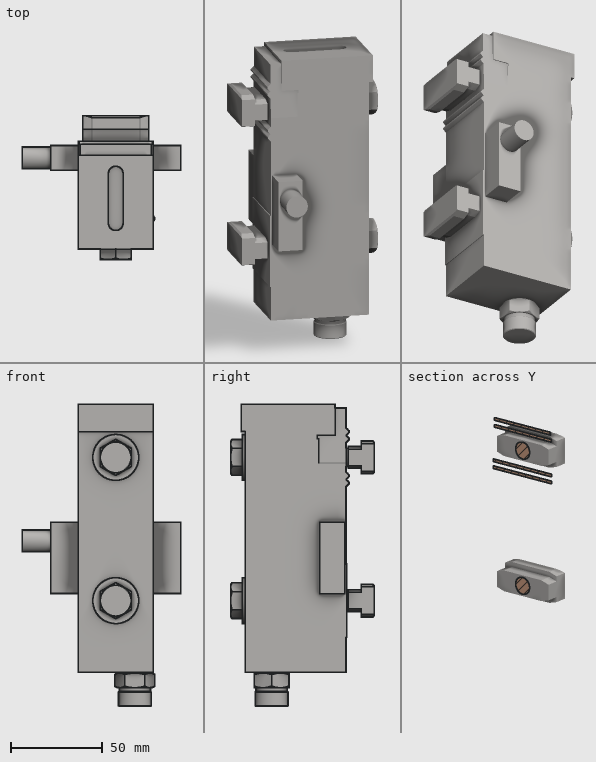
import cadquery as cq
import math


body_width = 41.0
body_depth = 54.9
body_height = 146.0
cap_height = 15.0
cap_overhang = 2.2

slot_width = 8.0
slot_length = 35.0
slot_depth = 2.0
slot_center_y = 25.4

insert_top_z = body_height - 2.0
insert_step_z = body_height - 17.0
insert_bottom_z = body_height - 32.0
insert_upper_y = 48.9
insert_lower_y = 40.0
relief_depth = 0.7
relief_height = 1.75
insert_top_width = 38.7

bolt_spacing = 78.0
lower_bolt_z = 39.0
upper_bolt_z = lower_bolt_z + bolt_spacing
washer_diameter = 25.0
washer_thickness = 1.7
bolt_diameter = 10.0
bolt_head_flats = 17.0
bolt_head_height = 6.3
bolt_head_crown_diameter = 16.8

nut_width = 36.0
nut_head_height = 17.9
nut_head_thickness = 7.3
nut_neck_height = 12.0
nut_neck_thickness = 7.0
nut_corner_length = 5.0
nut_corner_drop = 1.5
nut_edge_chamfer = 1.0
nut_gap = 1.2

tooth_pitch = 4.0
tooth_height = 1.7
tooth_tip_width = 0.8
teeth_per_side = 2
first_tooth_offset = 10.0
pad_height = 40.0
pad_thickness = 0.5

bar_length = 71.0
bar_depth = 13.6
bar_height = 39.0
bar_center_y = 47.4
bar_center_z = 62.3
pin_diameter = 12.0
pin_length = 15.5
pin_z = 71.5

fitting_x = 10.4
fitting_y = 14.4
fitting_flats = 19.0
fitting_collar_height = 0.4
fitting_hex_height = 8.0
fitting_groove_diameter = 17.1
fitting_groove_height = 2.0
fitting_thread_diameter = 18.0
fitting_length = 18.5
fitting_thread_chamfer = 0.4

hex_chamfer_angle = math.radians(30)


def box(x_range, y_range, z_range):
    """Box given by its lower and upper limit along each axis."""
    size = [high - low for low, high in (x_range, y_range, z_range)]
    corner = cq.Vector(x_range[0], y_range[0], z_range[0])
    return cq.Workplane(cq.Solid.makeBox(*size, corner))


def extrude_across(points, width):
    """Extrude a (Y, Z) outline along X, centred on X = 0."""
    return cq.Workplane("YZ").polyline(points).close().extrude(width / 2, both=True)


def hexagon(flats, height, crown_diameter, chamfer_bottom):
    """Hexagon prism up from Z = 0 with corners on X, its corners turned down to a cone."""
    corner_radius = flats / math.sqrt(3)
    crown_radius = crown_diameter / 2
    drop = (corner_radius - crown_radius) * math.tan(hex_chamfer_angle)
    prism = cq.Workplane("XY").polygon(6, 2 * corner_radius).extrude(height)
    if chamfer_bottom:
        bottom = [(crown_radius, 0), (corner_radius, drop)]
    else:
        bottom = [(corner_radius, 0)]
    top = [(corner_radius, height - drop), (crown_radius, height)]
    outline = [(0, 0)] + bottom + top + [(0, height)]
    turned = cq.Workplane("XZ").polyline(outline).close().revolve(360, (0, 0), (0, 1))
    return prism.intersect(turned)


def make_body():
    half_width = body_width / 2
    block = box((-half_width, half_width), (0, body_depth), (0, body_height))
    overhang = box(
        (-half_width, half_width),
        (-cap_overhang, 0),
        (body_height - cap_height, body_height),
    )
    slot = (
        cq.Workplane("XY", origin=(0, slot_center_y, body_height))
        .slot2D(slot_length, slot_width, 90)
        .extrude(-slot_depth)
    )
    return block.union(overhang).cut(slot)


def insert_outline(back_y, top_z):
    """(Y, Z) outline of the insert seat, reaching out to the given back and top."""
    relief_y = insert_lower_y - relief_depth
    relief_z = insert_step_z - relief_height
    return [
        (back_y, insert_bottom_z),
        (insert_lower_y, insert_bottom_z),
        (insert_lower_y, relief_z),
        (relief_y, relief_z),
        (relief_y, insert_step_z),
        (insert_upper_y, insert_step_z),
        (insert_upper_y, top_z),
        (back_y, top_z),
    ]


def make_teeth():
    """Rows of blunt 45 degree teeth across the back, on both sides of the upper bolt."""
    tip_y = body_depth + tooth_height
    tip_half = tooth_tip_width / 2
    teeth = cq.Workplane("XY")
    for side in (-1, 1):
        for index in range(teeth_per_side):
            tip_z = upper_bolt_z + side * (first_tooth_offset + index * tooth_pitch)
            points = [
                (body_depth, tip_z - tip_half - tooth_height),
                (tip_y, tip_z - tip_half),
                (tip_y, tip_z + tip_half),
                (body_depth, tip_z + tip_half + tooth_height),
            ]
            teeth = teeth.union(extrude_across(points, body_width))
    return teeth


def insert_side_limits():
    """Trapezoid in XZ whose sloping sides narrow the insert towards its top."""
    bottom_half = body_width / 2
    top_half = insert_top_width / 2
    return (
        cq.Workplane("XZ")
        .polyline(
            [
                (-bottom_half, insert_bottom_z),
                (bottom_half, insert_bottom_z),
                (top_half, insert_top_z),
                (-top_half, insert_top_z),
            ]
        )
        .close()
        .extrude(-(body_depth + tooth_height))
    )


def add_insert(body):
    """Replace the upper back of the body by the insert and add the teeth."""
    seat = extrude_across(insert_outline(body_depth + tooth_height, body_height), body_width)
    insert = extrude_across(insert_outline(body_depth, insert_top_z), body_width)
    teeth = make_teeth()
    insert = insert.union(teeth.intersect(seat)).intersect(insert_side_limits())
    return body.union(teeth).cut(seat).union(insert)


def nut_plate(height, y_start, thickness):
    """T-nut plate with its four corners bevelled, extruded along +Y."""
    half_width = nut_width / 2
    half_height = height / 2
    flat_half = half_width - nut_corner_length
    side_half = half_height - nut_corner_drop
    return (
        cq.Workplane("XZ", origin=(0, y_start, 0))
        .polyline(
            [
                (half_width, -side_half),
                (half_width, side_half),
                (flat_half, half_height),
                (-flat_half, half_height),
                (-half_width, side_half),
                (-half_width, -side_half),
                (-flat_half, -half_height),
                (flat_half, -half_height),
            ]
        )
        .close()
        .extrude(-thickness)
    )


def make_nut():
    neck_y = body_depth + nut_gap
    head_y = neck_y + nut_neck_thickness
    end_y = head_y + nut_head_thickness
    half_height = nut_head_height / 2
    edge_limits = extrude_across(
        [
            (head_y, -half_height),
            (end_y - nut_edge_chamfer, -half_height),
            (end_y, nut_edge_chamfer - half_height),
            (end_y, half_height - nut_edge_chamfer),
            (end_y - nut_edge_chamfer, half_height),
            (head_y, half_height),
        ],
        nut_width,
    )
    neck = nut_plate(nut_neck_height, neck_y, nut_neck_thickness)
    head = nut_plate(nut_head_height, head_y, nut_head_thickness)
    return neck.union(head.intersect(edge_limits))


def make_bolt():
    """Bolt along Y at Z = 0 with washer and head in front and T-nut behind."""
    washer = cq.Workplane("XZ").circle(washer_diameter / 2).extrude(washer_thickness)
    shank = cq.Workplane("XZ").circle(bolt_diameter / 2).extrude(-(body_depth + nut_gap))
    head = (
        hexagon(bolt_head_flats, bolt_head_height, bolt_head_crown_diameter, False)
        .rotate((0, 0, 0), (0, 0, 1), 90)
        .rotate((0, 0, 0), (1, 0, 0), 90)
        .translate((0, -washer_thickness, 0))
    )
    return washer.union(shank).union(head).union(make_nut())


def make_pad():
    half_width = body_width / 2
    half_height = pad_height / 2
    return box(
        (-half_width, half_width),
        (body_depth, body_depth + pad_thickness),
        (lower_bolt_z - half_height, lower_bolt_z + half_height),
    )


def make_bar():
    bar = cq.Workplane("XY").box(bar_length, bar_depth, bar_height)
    bar = bar.translate((0, bar_center_y, bar_center_z))
    pin = (
        cq.Workplane("YZ", origin=(-bar_length / 2, bar_center_y, pin_z))
        .circle(pin_diameter / 2)
        .extrude(-pin_length)
    )
    return bar.union(pin)


def make_fitting():
    """Fitting hanging down from Z = 0: collar, hexagon, groove and threaded end."""
    hex_bottom = -fitting_collar_height - fitting_hex_height
    thread_top = hex_bottom - fitting_groove_height
    collar = cq.Workplane("XY").circle(fitting_flats / 2).extrude(-fitting_collar_height)
    hex_nut = hexagon(fitting_flats, fitting_hex_height, fitting_flats, True)
    hex_nut = hex_nut.translate((0, 0, hex_bottom))
    groove = (
        cq.Workplane("XY", origin=(0, 0, thread_top))
        .circle(fitting_groove_diameter / 2)
        .extrude(fitting_groove_height)
    )
    thread = (
        cq.Workplane("XY", origin=(0, 0, -fitting_length))
        .circle(fitting_thread_diameter / 2)
        .extrude(fitting_length + thread_top)
        .faces("<Z or >Z")
        .chamfer(fitting_thread_chamfer)
    )
    fitting = collar.union(hex_nut).union(groove).union(thread)
    return fitting.translate((fitting_x, fitting_y, 0))


result = add_insert(make_body()).union(make_pad()).union(make_bar()).union(make_fitting())
for bolt_z in (lower_bolt_z, upper_bolt_z):
    result = result.union(make_bolt().translate((0, 0, bolt_z)))